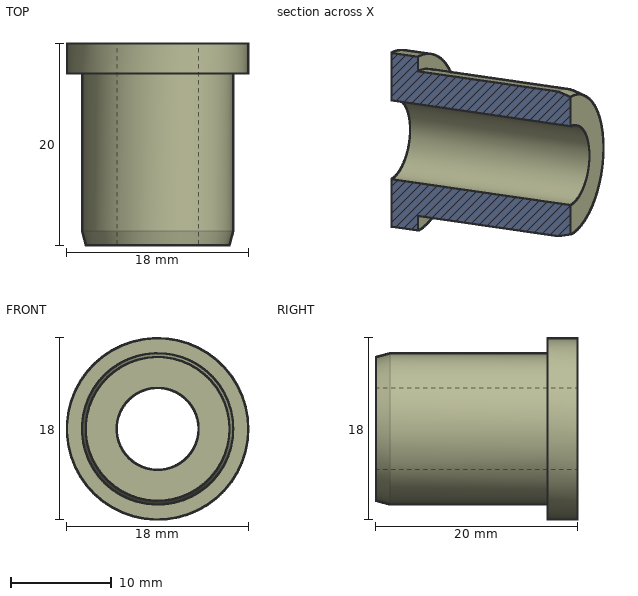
import cadquery as cq
import math

length = 20.0
flange_diameter = 18.0
flange_thickness = 3.0
shank_diameter = 15.0
bore_diameter = 8.1
lead_in_length = 1.4
lead_in_angle = 15.0

flange_radius = flange_diameter / 2
shank_radius = shank_diameter / 2
bore_radius = bore_diameter / 2
tip_radius = shank_radius - lead_in_length * math.tan(math.radians(lead_in_angle))
flange_start = length - flange_thickness

half_section = (
    cq.Workplane("XY")
    .moveTo(bore_radius, 0)
    .lineTo(tip_radius, 0)
    .lineTo(shank_radius, lead_in_length)
    .lineTo(shank_radius, flange_start)
    .lineTo(flange_radius, flange_start)
    .lineTo(flange_radius, length)
    .lineTo(bore_radius, length)
    .close()
)

result = half_section.revolve(360, (0, 0, 0), (0, 1, 0))